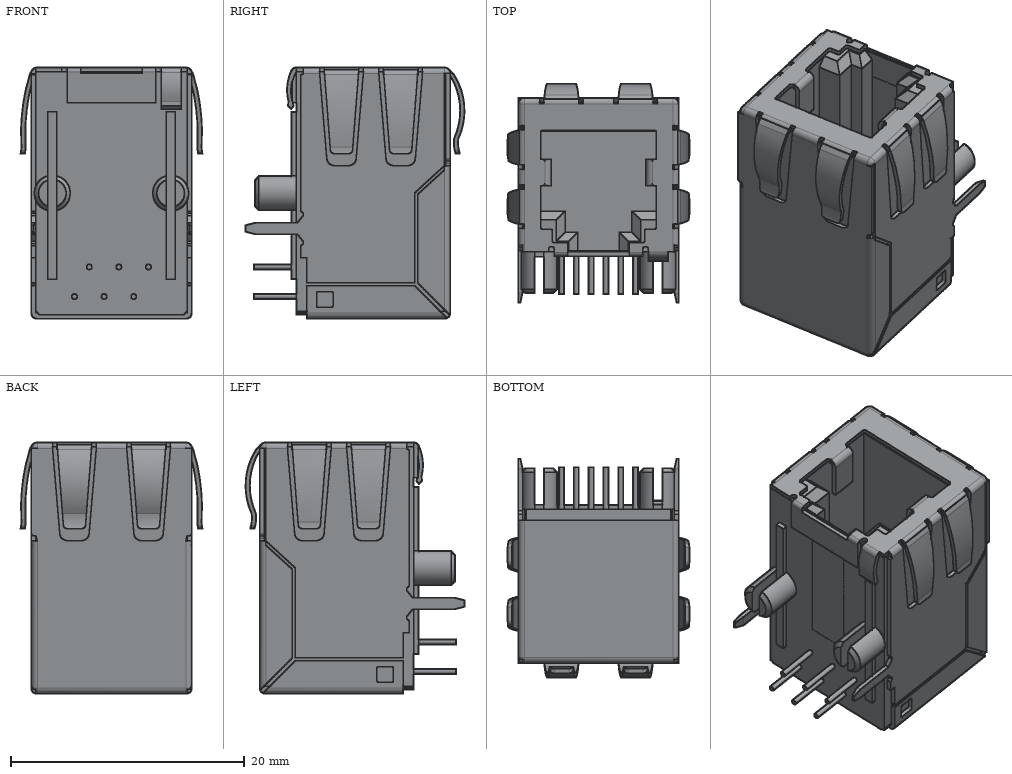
import cadquery as cq
import math


HEIGHT = 21.59
HALF_WIDTH = 6.89
BACK_Y = 13.22
SHEET = 0.38
BEND_RADIUS = 0.52

BODY_HALF_WIDTH = HALF_WIDTH - SHEET
BODY_BACK_Y = BACK_Y - SHEET
BODY_TOP_Z = HEIGHT - SHEET
BODY_CHAMFER = 0.3
FAR = 30.0
CLEAR = 1.0
DIAGONAL = math.sqrt(0.5)

OPENING_HALF_WIDTH = 4.96
CAVITY_BACK_Y = 10.34
CAVITY_FRONT_Y = 0.1
CAVITY_DEPTH = 14.0
LEAD_IN = 0.75
LEAD_IN_ANGLE = 45
UPPER_STEP_Y = 2.75
UPPER_STEP_HALF_WIDTH = 3.62
LOWER_STEP_Y = 0.92
LOWER_STEP_HALF_WIDTH = 2.54

PITCH_X = 10.16
RIB_WIDTH = 0.8
RIB_HEIGHT = 0.42
RIB_TOP_Z = HEIGHT - 3.83
RIB_BOTTOM_Z = HEIGHT - 18.17
POST_DIAMETER = 3.07
POST_LENGTH = 3.55
POST_CHAMFER = 0.35
POST_Z = HEIGHT - 10.8

PIN_DIAMETER = 0.46
PIN_LENGTH = 3.63
PIN_PITCH = 1.27
PINS_PER_ROW = 3
PIN_ROWS = ((-1.5, 4.46), (-2.5, 1.92))

SHIELD_OPENING_BACK_Y = 10.42
SHIELD_SHOULDER_Y = 1.95
SHIELD_SHOULDER_HALF_WIDTH = 3.96
SHIELD_LEDGE_Y = 0.8
SHIELD_MOUTH_HALF_WIDTH = 2.62
OPENING_CORNER_RADIUS = 0.15

TAB_BACK_Y = 7.94
TAB_FRONT_Y = 5.68
TAB_ROOT_X = 4.62
TAB_BEND_RADIUS = 0.55
TAB_DEPTH = 3.85

FINGER_PITCH_Y = 5.08
FINGERS_PER_SIDE = 2
FINGER_BACK_Y = 8.96
FINGER_X = 3.18
SLOT_TOP_HALF_WIDTH = 1.87
SLOT_BOTTOM_HALF_WIDTH = 1.21
SLOT_DEPTH = 8.43
SLOT_CORNER_RADIUS = 0.65
FINGER_ROOT_HALF_WIDTH = 1.5
FINGER_TIP_HALF_WIDTH = 0.93
FINGER_LENGTH = 7.4
FINGER_TIP_FILLET = 0.33
BEND_DEPTH = 0.58
FINGER_BASE = (-0.09, 0.2)
SIDE_FINGER_POINTS = [FINGER_BASE, (0.12, 0.58), (0.63, 2.7), (0.85, 6.8), (0.87, 7.1), (0.92, FINGER_LENGTH)]
BACK_FINGER_POINTS = [FINGER_BASE, (0.28, 0.58), (1.22, 3.55), (0.7, 6.1), (0.68, 6.7), (0.83, FINGER_LENGTH)]

LIP_HALF_WIDTH = 3.8
LIP_DEPTH = 3.05
LIP_BEND_RADIUS = 0.36
LIP_NOTCH_DEPTH = 0.5
RELIEF_WIDTH = 0.48
RELIEF_REACH = 0.46
BOARD_FINGER_WIDTH = 1.7
BOARD_FINGER_FOLD = [(-0.3, 0.12), (-0.48, 0.4)]
BOARD_FINGER_OUTER_BOW = [(-0.78, 1.5), (-0.68, 2.9)]
BOARD_FINGER_TIP = [(-0.72, 3.3), (-0.45, 3.58), (-0.22, 3.3), (-0.3, 3.0)]
BOARD_FINGER_INNER_BOW = (-0.38, 1.4)

WALL_EDGE_Y = 0.4
WALL_TOP_DEPTH = 0.65
RELIEF_EDGE_Y = 0.58
FLAP_EDGE_Y = 0.92
FLAP_STEP_DEPTH = 16.35
TAIL_Z = HEIGHT - 13.83
TAIL_WIDTH = 1.0
TAIL_TIP_WIDTH = 0.56
TAIL_TAPER_Y = -3.52
TAIL_TIP_Y = -4.36
TAIL_TIP_SHEET = 0.19
TAIL_RELIEF_HEIGHT = 1.0
TAIL_RELIEF_SLOPE = 0.6
TAIL_ROOT_Y = 0.1
TAIL_OVERLAP_Y = 0.7

SEAM = 0.25
SEAM_TOP_Z = HEIGHT - 8.45
SEAM_Y = 10.17
SEAM_BEND_Z = HEIGHT - 10.77
SEAM_BOTTOM_Z = HEIGHT - 18.5
UPPER_GAP = 0.12
NOTCH_TOP_Z = HEIGHT - 7.78
NOTCH_RADIUS = 0.23
WINDOW_Y = 2.45
WINDOW_Z = 1.67
WINDOW_WIDTH = 1.42
WINDOW_HEIGHT = 1.34
WINDOW_CORNER_RADIUS = 0.15

SIDES = (-1, 1)


def block(x0, x1, y0, y1, z0, z1):
    """Axis-aligned block between two corners."""
    return cq.Workplane("XY").box(x1 - x0, y1 - y0, z1 - z0, centered=False).translate((x0, y0, z0))


def both_sides(solid):
    """A solid together with its mirror image in X."""
    return solid.union(solid.mirror("YZ"))


def body_envelope():
    """Plain block of the housing, which is also the space inside the shield."""
    body = block(-BODY_HALF_WIDTH, BODY_HALF_WIDTH, 0, BODY_BACK_Y, SHEET, BODY_TOP_Z)
    return body.edges("|Y and <Z").chamfer(BODY_CHAMFER)


def stepped_prism(inset, depth, taper):
    """Stepped opening, narrower towards the board, as a union of three overlapping prisms."""
    prism = cq.Workplane("XY")
    for half_width, y in (
        (FAR, UPPER_STEP_Y), (UPPER_STEP_HALF_WIDTH, LOWER_STEP_Y), (LOWER_STEP_HALF_WIDTH, -FAR),
    ):
        level = (
            cq.Workplane("XY", origin=(0, (FAR + y) / 2, BODY_TOP_Z))
            .rect(2 * (half_width - inset), FAR - y - 2 * inset).extrude(-depth, taper=taper)
        )
        prism = prism.union(level)
    return prism


def cavity():
    """Plug cavity with sloped lead-ins on its latch steps."""
    room = block(
        -OPENING_HALF_WIDTH, OPENING_HALF_WIDTH, CAVITY_FRONT_Y, CAVITY_BACK_Y,
        BODY_TOP_Z - CAVITY_DEPTH, BODY_TOP_Z,
    )
    steps = stepped_prism(LEAD_IN, CAVITY_DEPTH, 0).union(stepped_prism(0, LEAD_IN, LEAD_IN_ANGLE))
    return room.intersect(steps)


def rib_and_post(x):
    """Stand-off rib with a split snap post straddling it."""
    half = RIB_WIDTH / 2
    post = (
        cq.Workplane("XZ", origin=(x, 0, POST_Z)).circle(POST_DIAMETER / 2).extrude(POST_LENGTH)
        .faces("<Y").chamfer(POST_CHAMFER)
    )
    post = post.cut(block(x - half, x + half, -FAR, 0, 0, HEIGHT))
    return post, block(x - half, x + half, -RIB_HEIGHT, 0, RIB_BOTTOM_Z, RIB_TOP_Z)


def make_housing():
    housing = body_envelope().cut(cavity())
    for side in SIDES:
        post, rib = rib_and_post(side * PITCH_X / 2)
        housing = housing.union(post).union(rib)
    return housing


def make_pin(x, z):
    return cq.Workplane("XZ", origin=(x, 0, z)).circle(PIN_DIAMETER / 2).extrude(PIN_LENGTH)


def make_pins():
    """Two staggered rows of three pins."""
    pins = []
    for first, z in PIN_ROWS:
        for column in range(PINS_PER_ROW):
            x = (first + 2 * column) * PIN_PITCH
            pins.append(make_pin(x, z))
    return pins


def folded_shell():
    """Five-sided sheet box, open towards the board, with rounded folds."""
    outer = block(-HALF_WIDTH, HALF_WIDTH, 0, BACK_Y, 0, HEIGHT)
    outer = outer.edges("|Y or >Y").fillet(BEND_RADIUS)
    shell = outer.cut(body_envelope())
    ends = block(
        HALF_WIDTH - BEND_RADIUS, HALF_WIDTH, BODY_BACK_Y, BACK_Y,
        SEAM_TOP_Z, HEIGHT - BEND_RADIUS,
    )
    return shell.union(both_sides(ends))


def top_opening():
    """Cut for the plug opening in the top sheet, running out through the board-side fold."""
    right = [
        (OPENING_HALF_WIDTH, SHIELD_OPENING_BACK_Y),
        (OPENING_HALF_WIDTH, TAB_BACK_Y),
        (TAB_ROOT_X, TAB_BACK_Y),
        (TAB_ROOT_X, TAB_FRONT_Y),
        (OPENING_HALF_WIDTH, TAB_FRONT_Y),
        (OPENING_HALF_WIDTH, SHIELD_SHOULDER_Y),
        (SHIELD_SHOULDER_HALF_WIDTH, SHIELD_SHOULDER_Y),
        (SHIELD_SHOULDER_HALF_WIDTH, SHIELD_LEDGE_Y),
        (SHIELD_MOUTH_HALF_WIDTH, SHIELD_LEDGE_Y),
        (SHIELD_MOUTH_HALF_WIDTH, -CLEAR),
    ]
    left = [(-x, y) for x, y in reversed(right)]
    cut = (
        cq.Workplane("XY", origin=(0, 0, HEIGHT - LIP_NOTCH_DEPTH)).polyline(right + left).close()
        .extrude(LIP_NOTCH_DEPTH)
    )
    return cut.edges("|Z").fillet(OPENING_CORNER_RADIUS)


def guide_tab():
    """Tab on the +X edge of the opening, folded down into the cavity."""
    inner_radius = TAB_BEND_RADIUS - SHEET
    face_x = TAB_ROOT_X - TAB_BEND_RADIUS
    centre_z = HEIGHT - TAB_BEND_RADIUS
    return (
        cq.Workplane("XZ", origin=(0, TAB_BACK_Y, 0))
        .moveTo(TAB_ROOT_X, HEIGHT)
        .threePointArc(
            (TAB_ROOT_X - TAB_BEND_RADIUS * DIAGONAL, centre_z + TAB_BEND_RADIUS * DIAGONAL),
            (face_x, centre_z),
        )
        .lineTo(face_x, HEIGHT - TAB_DEPTH)
        .lineTo(face_x + SHEET, HEIGHT - TAB_DEPTH)
        .lineTo(face_x + SHEET, centre_z)
        .threePointArc(
            (TAB_ROOT_X - inner_radius * DIAGONAL, centre_z + inner_radius * DIAGONAL),
            (TAB_ROOT_X, BODY_TOP_Z),
        )
        .close()
        .extrude(TAB_BACK_Y - TAB_FRONT_Y)
    )


def finger_slot():
    """Tapered slot around a finger, up through the fold, keeping the finger's root."""
    top = HEIGHT - BEND_DEPTH
    bottom = HEIGHT - SLOT_DEPTH
    slot = (
        cq.Workplane("YZ")
        .polyline([
            (-SLOT_TOP_HALF_WIDTH, top), (SLOT_TOP_HALF_WIDTH, top),
            (SLOT_BOTTOM_HALF_WIDTH, bottom), (-SLOT_BOTTOM_HALF_WIDTH, bottom),
        ])
        .close().extrude(2 * BEND_RADIUS).edges("|X and <Z").fillet(SLOT_CORNER_RADIUS)
    )
    fold = block(0, 2 * BEND_RADIUS, -SLOT_TOP_HALF_WIDTH, SLOT_TOP_HALF_WIDTH, top, HEIGHT)
    root = block(0, 2 * BEND_RADIUS, -FINGER_ROOT_HALF_WIDTH, FINGER_ROOT_HALF_WIDTH, top, HEIGHT)
    return slot.union(fold.cut(root)).translate((-BEND_RADIUS, 0, 0))


def finger_outline():
    """Block with the tapered face outline of a finger."""
    tip_z = HEIGHT - FINGER_LENGTH
    return (
        cq.Workplane("YZ")
        .polyline([
            (-FINGER_ROOT_HALF_WIDTH, HEIGHT), (FINGER_ROOT_HALF_WIDTH, HEIGHT),
            (FINGER_TIP_HALF_WIDTH, tip_z), (-FINGER_TIP_HALF_WIDTH, tip_z),
        ])
        .close().extrude(FAR, both=True).edges("|X and <Z").fillet(FINGER_TIP_FILLET)
    )


def finger_strip(points):
    """Bent strip through outer points (offset from the wall face, depth), thickened inwards.

    A straight start leaves the fold; one arc bows the finger and a second arc turns up its tip.
    """
    base, root, bow, neck, curl, tip = [(out, HEIGHT - depth) for out, depth in points]

    def inner(point):
        return (point[0] - SHEET, point[1])

    return (
        cq.Workplane("XZ", origin=(0, FAR / 2, 0))
        .moveTo(*base).lineTo(*root).threePointArc(bow, neck).threePointArc(curl, tip)
        .lineTo(*inner(tip)).threePointArc(inner(curl), inner(neck))
        .threePointArc(inner(bow), inner(root)).lineTo(*inner(base)).close().extrude(FAR)
    )


def add_spring_fingers(shield):
    side_finger = finger_strip(SIDE_FINGER_POINTS).intersect(finger_outline())
    back_finger = finger_strip(BACK_FINGER_POINTS).intersect(finger_outline())
    slot = finger_slot()
    for row in range(FINGERS_PER_SIDE):
        place = (HALF_WIDTH, FINGER_BACK_Y - row * FINGER_PITCH_Y, 0)
        shield = shield.cut(both_sides(slot.translate(place)))
        shield = shield.union(both_sides(side_finger.translate(place)))
    for side in SIDES:
        place = (side * FINGER_X, BACK_Y, 0)
        shield = shield.cut(slot.rotate((0, 0, 0), (0, 0, 1), 90).translate(place))
        shield = shield.union(back_finger.rotate((0, 0, 0), (0, 0, 1), 90).translate(place))
    return shield


def board_lip():
    """Lip folded from the top sheet down over the board face."""
    lip = block(-LIP_HALF_WIDTH, LIP_HALF_WIDTH, -SHEET, 0, HEIGHT - LIP_DEPTH, HEIGHT)
    return lip.edges("|X and >Z and <Y").fillet(LIP_BEND_RADIUS)


def board_finger():
    """Bowed spring finger folded from the top sheet over the board face."""

    def at_depth(point):
        return (point[0], HEIGHT - point[1])

    profile = (
        cq.Workplane("YZ", origin=(LIP_HALF_WIDTH + RELIEF_WIDTH, 0, 0))
        .moveTo(0, HEIGHT)
        .threePointArc(*[at_depth(point) for point in BOARD_FINGER_FOLD])
        .threePointArc(*[at_depth(point) for point in BOARD_FINGER_OUTER_BOW])
    )
    for point in BOARD_FINGER_TIP:
        profile = profile.lineTo(*at_depth(point))
    profile = profile.threePointArc(at_depth(BOARD_FINGER_INNER_BOW), (0, BODY_TOP_Z)).close()
    return profile.extrude(BOARD_FINGER_WIDTH)


def lip_reliefs():
    """Round-ended slots that part the lip from the rest of the top sheet."""
    radius = RELIEF_WIDTH / 2
    x = LIP_HALF_WIDTH + radius
    end_y = RELIEF_REACH - radius
    straight = block(LIP_HALF_WIDTH, LIP_HALF_WIDTH + RELIEF_WIDTH, -CLEAR, end_y, 0, HEIGHT)
    round_end = cq.Workplane("XY").center(x, end_y).circle(radius).extrude(HEIGHT)
    return both_sides(straight.union(round_end))


def wall_edge_trim():
    """Material removed along the board-side edge of the +X wall, around the ground tail."""
    tail_top = TAIL_Z + TAIL_WIDTH / 2
    tail_bottom = TAIL_Z - TAIL_WIDTH / 2
    corner_bottom = HEIGHT - WALL_TOP_DEPTH
    flap_top = HEIGHT - FLAP_STEP_DEPTH
    slope = RELIEF_EDGE_Y - WALL_EDGE_Y
    upper = [
        (-CLEAR, HEIGHT), (RELIEF_EDGE_Y, HEIGHT), (RELIEF_EDGE_Y, corner_bottom + slope / 2),
        (WALL_EDGE_Y, corner_bottom), (WALL_EDGE_Y, tail_top + TAIL_RELIEF_HEIGHT),
        (RELIEF_EDGE_Y, tail_top + TAIL_RELIEF_HEIGHT - slope), (RELIEF_EDGE_Y, tail_top + TAIL_RELIEF_SLOPE),
        (TAIL_ROOT_Y, tail_top), (-CLEAR, tail_top),
    ]
    lower = [
        (-CLEAR, tail_bottom), (TAIL_ROOT_Y, tail_bottom), (RELIEF_EDGE_Y, tail_bottom - TAIL_RELIEF_SLOPE),
        (RELIEF_EDGE_Y, tail_bottom - TAIL_RELIEF_HEIGHT + slope),
        (WALL_EDGE_Y, tail_bottom - TAIL_RELIEF_HEIGHT),
        (WALL_EDGE_Y, flap_top), (FLAP_EDGE_Y, flap_top), (FLAP_EDGE_Y, -CLEAR), (-CLEAR, -CLEAR),
    ]
    wall = cq.Workplane("YZ", origin=(BODY_HALF_WIDTH, 0, 0))
    trim = wall.polyline(upper).close().extrude(CLEAR)
    return trim.union(wall.polyline(lower).close().extrude(CLEAR))


def ground_tail():
    """Solder tail of the +X wall, narrowed and thinned at its tip."""
    half = TAIL_WIDTH / 2
    tip = TAIL_TIP_WIDTH / 2
    face = (
        cq.Workplane("YZ", origin=(BODY_HALF_WIDTH, 0, TAIL_Z))
        .polyline([
            (TAIL_OVERLAP_Y, half), (TAIL_TAPER_Y, half), (TAIL_TIP_Y, tip),
            (TAIL_TIP_Y, -tip), (TAIL_TAPER_Y, -half), (TAIL_OVERLAP_Y, -half),
        ])
        .close().extrude(SHEET)
    )
    thinning = (
        cq.Workplane("XY")
        .polyline([
            (BODY_HALF_WIDTH, TAIL_TAPER_Y), (HALF_WIDTH - TAIL_TIP_SHEET, TAIL_TIP_Y),
            (BODY_HALF_WIDTH, TAIL_TIP_Y),
        ])
        .close().extrude(HEIGHT)
    )
    return face.cut(thinning)


def wall_seams():
    """Narrow gaps in the +X wall between the side wall and the back and bottom flanges."""
    fold_y = BACK_Y - BEND_RADIUS
    flange_y = SEAM_Y + SEAM
    flange_bend_z = SEAM_BEND_Z - SEAM / 2
    side_seam = [
        (fold_y, SEAM_TOP_Z), (SEAM_Y, SEAM_BEND_Z), (SEAM_Y, SEAM_BOTTOM_Z),
        (0, SEAM_BOTTOM_Z), (0, SEAM_BOTTOM_Z - SEAM), (SEAM_Y, SEAM_BOTTOM_Z - SEAM),
        (BACK_Y, SEAM_BOTTOM_Z - SEAM - (BACK_Y - SEAM_Y)),
        (BACK_Y, SEAM_BOTTOM_Z - (BACK_Y - flange_y)),
        (flange_y, SEAM_BOTTOM_Z), (flange_y, flange_bend_z),
        (fold_y, SEAM_TOP_Z - SEAM - SEAM / 2),
    ]
    wall = cq.Workplane("YZ", origin=(BODY_HALF_WIDTH, 0, 0))
    seam = wall.polyline(side_seam).close().extrude(CLEAR)
    upper = block(
        HALF_WIDTH - BEND_RADIUS, FAR, fold_y, fold_y + UPPER_GAP, SEAM_TOP_Z, HEIGHT - BEND_RADIUS
    )
    return seam.union(upper)


def bend_relief():
    """Notch with an S-shaped end that frees the upper back panel from the fold of the back flange."""
    radius = NOTCH_RADIUS
    diagonal = radius * DIAGONAL
    upper_z = NOTCH_TOP_Z
    lower_z = NOTCH_TOP_Z - 2 * radius
    middle_x = HALF_WIDTH - radius
    return (
        cq.Workplane("XZ", origin=(0, BACK_Y, 0))
        .moveTo(HALF_WIDTH, upper_z)
        .threePointArc((middle_x + diagonal, upper_z - diagonal), (middle_x, upper_z - radius))
        .threePointArc((middle_x - diagonal, lower_z + diagonal), (middle_x - radius, lower_z))
        .lineTo(middle_x - radius, SEAM_TOP_Z).lineTo(HALF_WIDTH, SEAM_TOP_Z).close()
        .extrude(BEND_RADIUS)
    )


def flange_window():
    """Square window in the bottom flange of the +X wall."""
    return (
        cq.Workplane("YZ", origin=(BODY_HALF_WIDTH, WINDOW_Y, WINDOW_Z))
        .rect(WINDOW_WIDTH, WINDOW_HEIGHT).extrude(CLEAR).edges("|X").fillet(WINDOW_CORNER_RADIUS)
    )


def make_shield():
    shield = folded_shell().union(board_lip())
    shield = shield.cut(top_opening()).cut(lip_reliefs())
    shield = shield.cut(block(-HALF_WIDTH, HALF_WIDTH, 0, FLAP_EDGE_Y, 0, BEND_RADIUS))
    for cut in (wall_edge_trim(), wall_seams(), bend_relief(), flange_window()):
        shield = shield.cut(both_sides(cut))
    shield = shield.union(both_sides(guide_tab())).union(both_sides(ground_tail())).union(board_finger())
    return add_spring_fingers(shield)


housing = make_housing()
shield = make_shield()
pins = make_pins()
result = cq.Compound.makeCompound([*housing.vals(), *shield.vals(), *[pin.val() for pin in pins]])